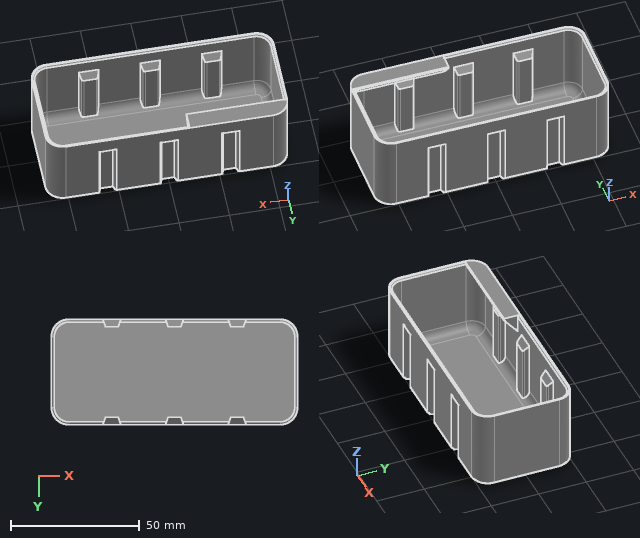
import cadquery as cq
import math

length = 96.0
width = 41.2
height = 33.7
corner_radius = 6.9
foot_chamfer = 1.2

rim_flat = 0.5
rim_bevel = 0.72
wall = rim_flat + rim_bevel
floor = wall
floor_fillet = 3.9

groove_pitch = 24.4
groove_count = 3
groove_width = 7.1
groove_bottom_width = 5.0
groove_depth = 2.9
groove_top = 27.1
groove_bottom_top = groove_top - groove_depth
groove_skin = 0.81

ledge_length = 39.9
ledge_width = 6.9
ledge_edge = 0.9
support_drop = 6.9


def rounded_outline(inset, level):
    """Sketch of the outer outline moved inward by inset, at the given height."""
    outline = (
        cq.Sketch()
        .rect(length - 2 * inset, width - 2 * inset)
        .vertices()
        .fillet(corner_radius - inset)
    )
    return cq.Workplane("XY", origin=(0, 0, level)).placeSketch(outline)


def make_body():
    block = rounded_outline(0, 0).extrude(height)
    return block.faces("<Z").edges().chamfer(foot_chamfer)


def make_cavity():
    """Inside of the box: rounded floor edge and a 45 degree bevel at the rim."""
    pocket = rounded_outline(wall, floor).extrude(height - floor)
    pocket = pocket.faces("<Z").edges().fillet(floor_fillet)
    bevel = rounded_outline(wall, height - rim_bevel).extrude(rim_bevel, taper=-45)
    return pocket.union(bevel)


def make_groove_shape(offset, bottom):
    """Groove with sloped sides and top in the front wall, grown outward by offset."""
    side_slope = (groove_width - groove_bottom_width) / 2 / groove_depth
    top_slope = (groove_top - groove_bottom_top) / groove_depth
    depth = groove_depth + offset
    face_half = groove_width / 2 + offset * math.hypot(1, side_slope)
    deep_half = face_half - depth * side_slope
    face_top = groove_top + offset * math.hypot(1, top_slope)
    deep_top = face_top - depth * top_slope
    face_y = -width / 2
    deep_y = face_y + depth

    plan_points = [(-face_half, face_y), (face_half, face_y), (deep_half, deep_y), (-deep_half, deep_y)]
    side_points = [(face_y, bottom), (face_y, face_top), (deep_y, deep_top), (deep_y, bottom)]
    plan = (
        cq.Workplane("XY", origin=(0, 0, bottom))
        .polyline(plan_points)
        .close()
        .extrude(height)
    )
    side = (
        cq.Workplane("YZ")
        .polyline(side_points)
        .close()
        .extrude(groove_width, both=True)
    )
    return plan.intersect(side)


def on_both_walls(shape):
    """Copies of a front wall shape along the front wall and, mirrored, the back wall."""
    first_x = -groove_pitch * (groove_count - 1) / 2
    copies = cq.Workplane("XY")
    for index in range(groove_count):
        front = shape.translate((first_x + index * groove_pitch, 0, 0))
        copies = copies.add(front).add(front.mirror("XZ"))
    return copies.combine()


def make_ledge():
    """Flat ledge, flush with the rim, on a support sloping back to the wall."""
    back_y = width / 2
    wall_y = back_y - wall
    front_y = back_y - ledge_width
    support_bottom = height - ledge_edge - support_drop
    prism = (
        cq.Workplane("YZ", origin=(-length / 2, 0, 0))
        .moveTo(front_y, height)
        .lineTo(back_y, height)
        .lineTo(back_y, support_bottom)
        .lineTo(wall_y, support_bottom)
        .lineTo(front_y, height - ledge_edge)
        .close()
        .extrude(ledge_length)
    )
    return prism.intersect(make_body())


rib = make_groove_shape(groove_skin, floor).edges("|Z and >Y").fillet(groove_skin)
ribs = on_both_walls(rib)
grooves = on_both_walls(make_groove_shape(0, 0))

result = make_body().cut(make_cavity()).union(ribs).union(make_ledge()).cut(grooves)